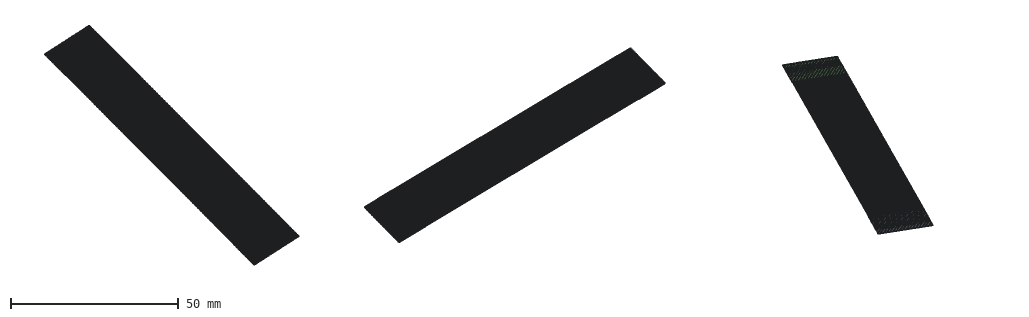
import cadquery as cq

LENGTH = 100.0
WIDTH = 17.0
TOTAL_HEIGHT = 0.36

STIFFENER_LENGTH = 10.0
STIFFENER_HEIGHT = 0.23

CONTACT_LENGTH = 5.0
CONDUCTOR_PITCH = 0.5
CONDUCTOR_WIDTH = 0.3
CONDUCTOR_HEIGHT = 0.03
CONDUCTOR_COUNT = round(WIDTH / CONDUCTOR_PITCH) - 1

FILM_HEIGHT = (TOTAL_HEIGHT - STIFFENER_HEIGHT - CONDUCTOR_HEIGHT) / 2
BASE_TOP = STIFFENER_HEIGHT + FILM_HEIGHT
COVER_BOTTOM = BASE_TOP + CONDUCTOR_HEIGHT


def layer(length, width, bottom, height, centers):
    """Equal flat strips at the given (x, y) centers, with their undersides at bottom."""
    return cq.Workplane("XY").workplane(offset=bottom).pushPoints(centers).rect(length, width).extrude(height)


stiffener_x = (LENGTH - STIFFENER_LENGTH) / 2
stiffeners = layer(STIFFENER_LENGTH, WIDTH, 0, STIFFENER_HEIGHT, [(-stiffener_x, 0), (stiffener_x, 0)])

base_film = layer(LENGTH, WIDTH, STIFFENER_HEIGHT, FILM_HEIGHT, [(0, 0)])

first_conductor_y = -CONDUCTOR_PITCH * (CONDUCTOR_COUNT - 1) / 2
conductor_centers = [(0, first_conductor_y + i * CONDUCTOR_PITCH) for i in range(CONDUCTOR_COUNT)]
conductors = layer(LENGTH, CONDUCTOR_WIDTH, BASE_TOP, CONDUCTOR_HEIGHT, conductor_centers)

cover_film = layer(LENGTH - 2 * CONTACT_LENGTH, WIDTH, COVER_BOTTOM, FILM_HEIGHT, [(0, 0)])

result = base_film.union(stiffeners).union(conductors).union(cover_film)